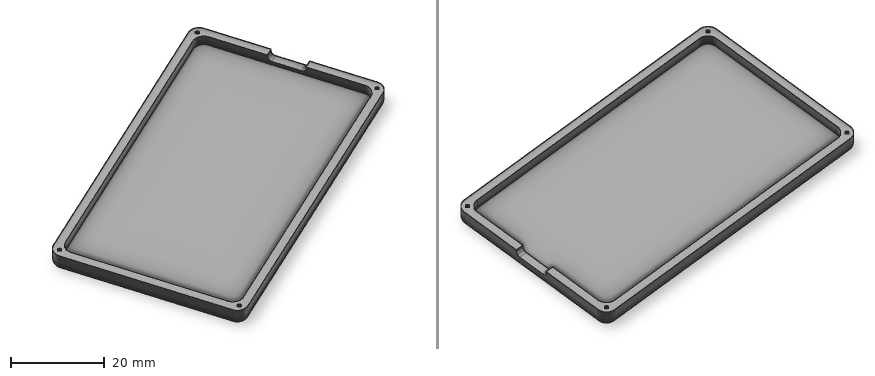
import cadquery as cq

width = 45.35
length = 75.85
height = 4.5
corner_radius = 2.5

blend_size = 2.1
blend_fullness = 0.68

wall = 2.0
pocket_depth = 2.5
pocket_corner_radius = 2.5

hole_diameter = 0.9
hole_depth = 2.0
hole_inset = 1.75

notch_width = 8.95
notch_depth = 1.5
notch_radius = 1.0


def make_body():
    """Slab with rounded vertical corners."""
    slab = cq.Workplane("XY").box(width, length, height, centered=(True, True, False))
    return slab.edges("|Z").fillet(corner_radius)


def make_bottom_blend_cutter():
    """Waste outside the bottom edge blend, swept once around the outline."""
    straight_x = width / 2 - corner_radius
    straight_y = length / 2 - corner_radius
    side_y = -length / 2
    handle_end = blend_size * (1 - blend_fullness)
    profile = (
        cq.Workplane("YZ", origin=(-straight_x, 0, 0))
        .moveTo(side_y, 0)
        .lineTo(side_y, blend_size)
        .bezier(
            [
                (side_y, blend_size),
                (side_y, handle_end),
                (side_y + handle_end, 0),
                (side_y + blend_size, 0),
            ]
        )
        .close()
    )
    path = (
        cq.Workplane("XY")
        .moveTo(-straight_x, side_y)
        .lineTo(straight_x, side_y)
        .tangentArcPoint((width / 2, -straight_y), relative=False)
        .lineTo(width / 2, straight_y)
        .tangentArcPoint((straight_x, length / 2), relative=False)
        .lineTo(-straight_x, length / 2)
        .tangentArcPoint((-width / 2, straight_y), relative=False)
        .lineTo(-width / 2, -straight_y)
        .tangentArcPoint((-straight_x, side_y), relative=False)
        .wire()
    )
    return profile.sweep(path)


def make_pocket():
    """Rounded pocket, open at the top."""
    pocket = (
        cq.Workplane("XY")
        .workplane(offset=height - pocket_depth)
        .rect(width - 2 * wall, length - 2 * wall)
        .extrude(pocket_depth)
    )
    return pocket.edges("|Z").fillet(pocket_corner_radius)


def make_corner_holes():
    """Four blind holes drilled down from the rim."""
    return (
        cq.Workplane("XY")
        .workplane(offset=height - hole_depth)
        .rect(width - 2 * hole_inset, length - 2 * hole_inset, forConstruction=True)
        .vertices()
        .circle(hole_diameter / 2)
        .extrude(hole_depth)
    )


def make_notch():
    """Open-topped notch with rounded lower corners."""
    notch = cq.Workplane("XY").box(notch_width, wall, notch_depth)
    notch = notch.edges("|Y and <Z").fillet(notch_radius)
    return notch.translate((0, (length - wall) / 2, height - notch_depth / 2))


result = (
    make_body()
    .cut(make_bottom_blend_cutter())
    .cut(make_pocket())
    .cut(make_corner_holes())
    .cut(make_notch())
)